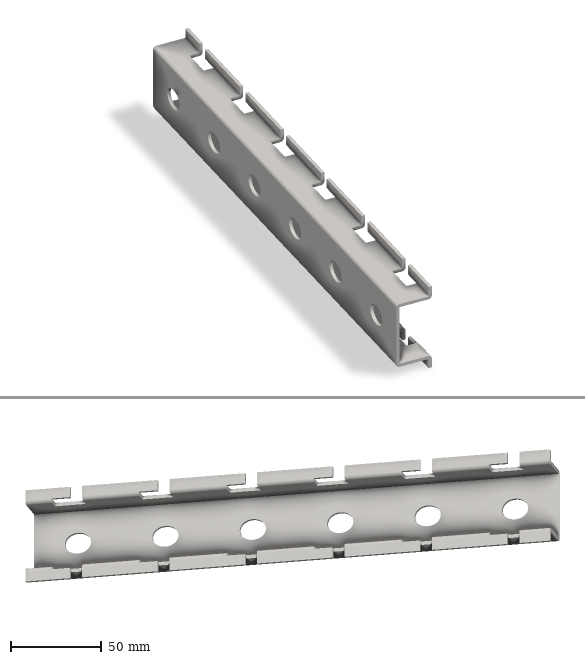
import cadquery as cq

length = 300
depth = 22.0
height = 53.0

thickness = 2.0
lip_height = 6
web_height = height - 2 * lip_height

cell_count = 6
pitch = length / cell_count
cell_starts = [-length / 2 + i * pitch for i in range(cell_count)]

hole_length = 15
hole_height = 12

notch_start = (pitch - hole_length) / 2
notch_width = 7.0
window_length = 17.5
window_depth = 8.0


def make_hat_section():
    """Web on the -Y side, two flanges running back, and lips turned outward."""
    back = depth / 2
    front = -back
    lip_front = back - thickness
    web_back = front + thickness
    outer = web_height / 2
    inner = outer - thickness
    tip = height / 2
    return (
        cq.Workplane("YZ")
        .moveTo(front, -inner)
        .radiusArc((web_back, -outer), -thickness)
        .lineTo(lip_front, -outer)
        .lineTo(lip_front, -tip)
        .lineTo(back, -tip)
        .lineTo(back, -outer)
        .radiusArc((lip_front, -inner), -thickness)
        .lineTo(web_back, -inner)
        .lineTo(web_back, inner)
        .lineTo(lip_front, inner)
        .radiusArc((back, outer), -thickness)
        .lineTo(back, tip)
        .lineTo(lip_front, tip)
        .lineTo(lip_front, outer)
        .lineTo(web_back, outer)
        .radiusArc((front, inner), -thickness)
        .close()
        .extrude(length / 2, both=True)
    )


def make_web_holes():
    """Elliptical holes running along Y, one at the middle of each cell."""
    centres = [(start + pitch / 2, 0) for start in cell_starts]
    return (
        cq.Workplane("XZ")
        .pushPoints(centres)
        .ellipse(hole_length / 2, hole_height / 2)
        .extrude(depth, both=True)
    )


def make_edge_cuts(cut_length, half_height):
    """One box per cell from the notch start, reaching in from the back to the window depth."""
    centres = [(start + notch_start + cut_length / 2, depth / 2) for start in cell_starts]
    return (
        cq.Workplane("XY")
        .pushPoints(centres)
        .rect(cut_length, 2 * window_depth)
        .extrude(half_height, both=True)
    )


lip_notches = make_edge_cuts(notch_width, height / 2)
flange_windows = make_edge_cuts(window_length, web_height / 2)

result = make_hat_section().cut(make_web_holes()).cut(lip_notches).cut(flange_windows)